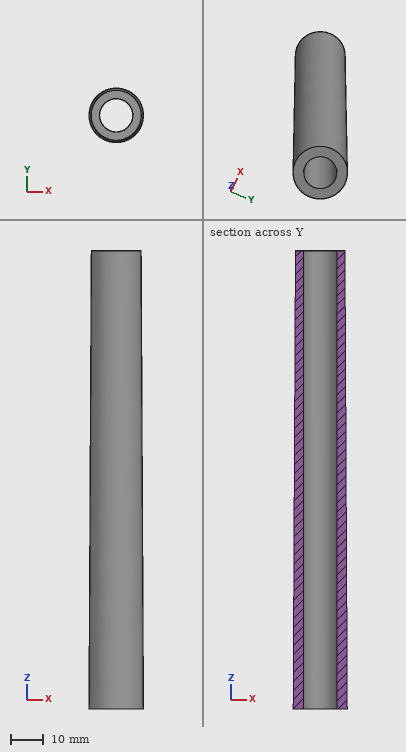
import cadquery as cq

length = 139.7
bottom_diameter = 16.6
top_diameter = 15.2
bore_diameter = 10.0

wall_section = (
    cq.Workplane("XZ")
    .moveTo(bore_diameter / 2, 0)
    .lineTo(bottom_diameter / 2, 0)
    .lineTo(top_diameter / 2, length)
    .lineTo(bore_diameter / 2, length)
    .close()
)

result = wall_section.revolve(360, (0, 0, 0), (0, 1, 0))